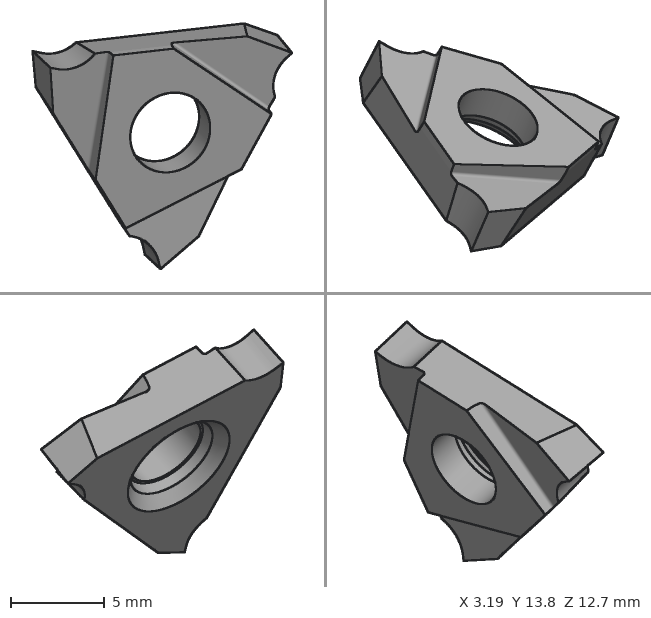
import cadquery as cq
import math

EDGE_COUNT = 3
THICKNESS = 3.19
CLEARANCE = 1.38

BACK_INRADIUS = 4.52
FULL_INRADIUS = 4.75
TAPER_LENGTH = 2.69

NOSE_START_Y = 5.21
NOSE_ANGLE = 25.0
NOSE_RELIEF = 2.0
NOSE_CUT_SIZE = 5.52

NOTCH_RADIUS = 2.03
NOTCH_Y = -5.56
NOTCH_Z = 6.07
NOTCH_TANGENT_ANGLE = 18.0

WALL_START_Y = 0.19
WALL_NORMAL_ANGLE = 51.8
RECESS_DEPTH = 1.05
FLOOR_RISE_ACROSS = 5.0
FLOOR_RISE_ALONG = 3.0
RECESS_CORNER_RADIUS = 0.17
RECESS_WIDTH = 9.65
RECESS_LENGTH = 22.06

HOLE_RADIUS = 2.25
SINK_RADIUS = 3.25
SINK_STEP_RADIUS = 2.62
LEDGE_RADIUS = 2.4
SINK_STEP_DEPTH = 0.7
LEDGE_DEPTH = 1.3


def triangle(inradius, x):
    """Triangle outline at height x, one side facing +Z."""
    half_side = inradius * math.tan(math.pi / EDGE_COUNT)
    points = [(-half_side, inradius), (half_side, inradius), (0, -2 * inradius)]
    return cq.Workplane("YZ", origin=(x, 0, 0)).polyline(points).close()


def body():
    """Tapered triangular block with a straight upper band."""
    back = triangle(BACK_INRADIUS, 0).val()
    full = triangle(FULL_INRADIUS, TAPER_LENGTH).val()
    tapered = cq.Workplane(cq.Solid.makeLoft([back, full], True))
    straight = triangle(FULL_INRADIUS, TAPER_LENGTH).extrude(THICKNESS - TAPER_LENGTH)
    return tapered.union(straight)


def nose_cutter():
    """Block that trims the triangle corner to the leaning nose flank."""
    length = THICKNESS + 2 * CLEARANCE
    width = 2 * NOSE_CUT_SIZE
    block = cq.Workplane("XY").box(length, width, NOSE_CUT_SIZE, centered=(False, True, False))
    block = block.translate((-CLEARANCE, 0, 0))
    block = block.rotate((0, 0, 0), (0, 1, 0), NOSE_RELIEF)
    block = block.rotate((0, 0, 0), (1, 0, 0), -NOSE_ANGLE)
    return block.translate((0, NOSE_START_Y, BACK_INRADIUS))


def notch_cutter():
    """Concave arc with a straight, tangent run-out toward the tip."""
    angle = math.radians(NOTCH_TANGENT_ANGLE)
    runout = CLEARANCE
    tangent_y = NOTCH_Y - NOTCH_RADIUS * math.sin(angle)
    tangent_z = NOTCH_Z - NOTCH_RADIUS * math.cos(angle)
    end_y = tangent_y - runout * math.cos(angle)
    end_z = tangent_z + runout * math.sin(angle)
    return (
        cq.Workplane("YZ", origin=(-CLEARANCE, 0, 0))
        .moveTo(NOTCH_Y + NOTCH_RADIUS, NOTCH_Z)
        .threePointArc((NOTCH_Y, NOTCH_Z - NOTCH_RADIUS), (tangent_y, tangent_z))
        .lineTo(end_y, end_z)
        .lineTo(end_y, NOTCH_Z)
        .close()
        .extrude(THICKNESS + 2 * CLEARANCE)
    )


def recess_cutter():
    """Tilted block with a rounded corner between the recess floor and wall."""
    height = RECESS_DEPTH + CLEARANCE
    block = cq.Workplane("XY").box(height, RECESS_WIDTH, RECESS_LENGTH, centered=(False, False, True))
    block = block.edges("<X and <Y").fillet(RECESS_CORNER_RADIUS)
    block = block.translate((-RECESS_DEPTH, 0, 0))
    block = block.rotate((0, 0, 0), (0, 1, 0), -FLOOR_RISE_ALONG)
    block = block.rotate((0, 0, 0), (0, 0, 1), -FLOOR_RISE_ACROSS)
    block = block.rotate((0, 0, 0), (1, 0, 0), WALL_NORMAL_ANGLE)
    return block.translate((THICKNESS, WALL_START_Y, FULL_INRADIUS))


def hole_cutter():
    """Through hole, ledge and two countersink cones, revolved about X."""
    profile = [
        (0, 0),
        (0, SINK_RADIUS),
        (SINK_STEP_DEPTH, SINK_STEP_RADIUS),
        (LEDGE_DEPTH, LEDGE_RADIUS),
        (LEDGE_DEPTH, HOLE_RADIUS),
        (THICKNESS, HOLE_RADIUS),
        (THICKNESS, 0),
    ]
    return cq.Workplane("XY").polyline(profile).close().revolve(360, (0, 0, 0), (1, 0, 0))


result = body().cut(hole_cutter())
for edge in range(EDGE_COUNT):
    turn = edge * 360 / EDGE_COUNT
    for cutter in (nose_cutter(), notch_cutter(), recess_cutter()):
        result = result.cut(cutter.rotate((0, 0, 0), (1, 0, 0), turn))